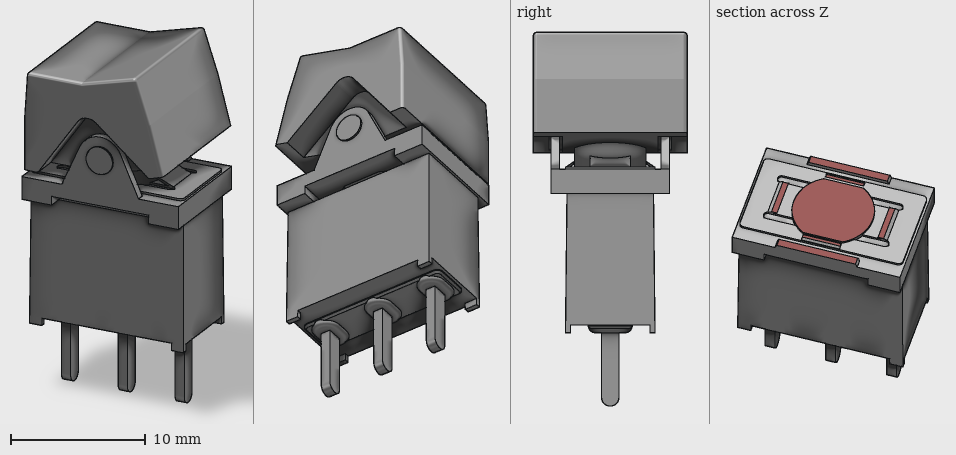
import cadquery as cq
import math


foot_z = 5.43
case_floor_z = 6.02
case_top_z = 15.75
bracket_top_z = 17.57
pivot_z = 20.1

case_top_x, case_top_y = 12.65, 6.43
case_foot_x, case_foot_y = 12.8, 6.65
foot_gap_x, foot_gap_y = 10.75, 5.88

terminal_pitch = 4.7
terminal_x, terminal_y = 0.78, 1.3
terminal_tip_radius = 0.499 * terminal_y
resin_x, resin_y = 12.3, 3.33
resin_thickness = 0.25
resin_corner = 0.5
resin_bevel = 0.17
mound_x, mound_y = 2.33, 3.27
mound_height = 0.58
mound_edge_radius = 0.55

bracket_x, bracket_y = 13.0, 8.8
bracket_slot_x, bracket_slot_z = 8.05, 0.7
ear_thickness = 0.65
ear_base_half = 3.2
ear_radius = 1.85

bushing_radius = 3.08
bushing_across_flats = 5.32
collar_radius = 3.15
collar_across_flats = 5.45

washer_x, washer_y = 12.65, 6.65
washer_thickness = 0.17
washer_corner = 0.35
tongue_width = 2.97
relief_width = 0.6
relief_end_x = 4.85
tongue_sheet = 0.2
tongue_x_root, tongue_x_tip, tongue_x_rise = 4.63, 2.63, 0.83
tongue_y_root, tongue_y_tip, tongue_y_rise = 3.27, 2.7, 0.4

rocker_width = 11.42
rocker_tilt = 7.5
rocker_side_x = 5.7
rocker_crease_z = 22.85
rocker_shoulder_x = 5.45
rocker_bottom_z = 18.77
rocker_shoulder_z = 26.58
rocker_edge_radius = 0.28
recess_floor_width = 7.1
recess_apex_height = 4.3
recess_slope = 47.3
recess_apex_radius = 1.05

pivot_diameter = 2.2
pin_overhang = 0.15
pivot_length = bracket_y + 2 * pin_overhang


def block(size_x, size_y, bottom_z, top_z):
    """Upright block centred on X and Y."""
    slab = cq.Workplane("XY").workplane(offset=bottom_z).rect(size_x, size_y)
    return slab.extrude(top_z - bottom_z)


def across_y(profile, width):
    """Extrude an XZ profile symmetrically along Y."""
    return profile.extrude(width / 2, both=True)


def make_case():
    case = (
        cq.Workplane("XY")
        .workplane(offset=foot_z)
        .rect(case_foot_x, case_foot_y)
        .workplane(offset=case_top_z - foot_z)
        .rect(case_top_x, case_top_y)
        .loft(combine=True)
    )
    case = case.cut(block(foot_gap_x, bracket_y, foot_z, case_floor_z))
    return case.cut(block(bracket_x, foot_gap_y, foot_z, case_floor_z))


def make_resin():
    resin = block(resin_x, resin_y, case_floor_z - resin_thickness, case_floor_z)
    resin = resin.edges("|Z").fillet(resin_corner).faces("<Z").chamfer(resin_bevel)
    for index in (-1, 0, 1):
        mound = (
            cq.Workplane("XY")
            .workplane(offset=case_floor_z - mound_height)
            .center(index * terminal_pitch, 0)
            .slot2D(mound_y, mound_x, 90)
            .extrude(mound_height)
            .faces("<Z")
            .edges()
            .fillet(mound_edge_radius)
        )
        resin = resin.union(mound)
    return resin


def make_terminals():
    terminals = cq.Workplane("XY")
    for index in (-1, 0, 1):
        blade = block(terminal_x, terminal_y, 0, case_floor_z)
        tip_edges = blade.faces("<Z").edges("|X")
        blade = tip_edges.fillet(terminal_tip_radius)
        terminals = terminals.union(blade.translate((index * terminal_pitch, 0, 0)))
    return terminals


def make_ear_profile():
    """Triangle with sides tangent to a round head about the pivot."""
    drop = pivot_z - bracket_top_z
    reach = math.hypot(ear_base_half, drop)
    tangent_angle = math.acos(ear_radius / reach) - math.atan2(drop, ear_base_half)
    tangent_x = ear_radius * math.cos(tangent_angle)
    tangent_z = pivot_z + ear_radius * math.sin(tangent_angle)
    return (
        cq.Workplane("XZ")
        .moveTo(-ear_base_half, bracket_top_z)
        .lineTo(-tangent_x, tangent_z)
        .threePointArc((0, pivot_z + ear_radius), (tangent_x, tangent_z))
        .lineTo(ear_base_half, bracket_top_z)
        .close()
    )


def make_bracket():
    bracket = block(bracket_x, bracket_y, case_top_z, bracket_top_z)
    slot_top_z = case_top_z + bracket_slot_z
    bracket = bracket.cut(block(bracket_slot_x, bracket_y, case_top_z, slot_top_z))
    ears = across_y(make_ear_profile(), bracket_y)
    between_ears = across_y(make_ear_profile(), bracket_y - 2 * ear_thickness)
    return bracket.union(ears.cut(between_ears))


def flatted_cylinder(radius, across_flats, bottom_z, top_z):
    """Upright cylinder with flats facing -Y and +Y."""
    barrel = cq.Workplane("XY").workplane(offset=bottom_z).circle(radius).extrude(top_z - bottom_z)
    return barrel.intersect(block(2 * radius, across_flats, bottom_z, top_z))


def make_bushing():
    collar = flatted_cylinder(collar_radius, collar_across_flats, case_top_z, bracket_top_z)
    return collar.union(
        flatted_cylinder(bushing_radius, bushing_across_flats, bracket_top_z, pivot_z)
    )


def make_tongue(root, tip, rise):
    """Sloping strip climbing toward the bushing from the +X side."""
    top_z = bracket_top_z + washer_thickness
    profile = (
        cq.Workplane("XZ")
        .moveTo(root, top_z)
        .lineTo(tip, top_z + rise)
        .lineTo(tip, top_z + rise - tongue_sheet)
        .lineTo(root, top_z - tongue_sheet)
        .close()
    )
    return across_y(profile, tongue_width)


def make_washer():
    washer = block(washer_x, washer_y, bracket_top_z, bracket_top_z + washer_thickness)
    washer = washer.edges("|Z").fillet(washer_corner)
    relief_y = (tongue_width + relief_width) / 2
    relief = (
        cq.Workplane("XY")
        .workplane(offset=bracket_top_z)
        .pushPoints([(0, -relief_y), (0, relief_y)])
        .slot2D(2 * relief_end_x, relief_width)
        .extrude(washer_thickness)
    )
    washer = washer.cut(relief)
    long_tongue = make_tongue(tongue_x_root, tongue_x_tip, tongue_x_rise)
    short_tongue = make_tongue(tongue_y_root, tongue_y_tip, tongue_y_rise)
    short_tongue = short_tongue.rotate((0, 0, 0), (0, 0, 1), 90)
    for tongue in (long_tongue, short_tongue):
        opposite_tongue = tongue.rotate((0, 0, 0), (0, 0, 1), 180)
        washer = washer.union(tongue).union(opposite_tongue)
    return washer


def tilt(body, angle):
    """Turn a body about the pivot axis; positive angles lift the +X side."""
    return body.rotate((0, 0, pivot_z), (0, -1, pivot_z), angle)


def make_rocker_blank():
    """Rocker standing upright: the left half is set out tilted, straightened, then mirrored."""
    lean = math.tan(math.radians(rocker_tilt))
    half = across_y(
        cq.Workplane("XZ").polyline([
            ((pivot_z - rocker_bottom_z) * lean, rocker_bottom_z),
            (-rocker_side_x, rocker_bottom_z),
            (-rocker_side_x, rocker_crease_z),
            (-rocker_shoulder_x, rocker_shoulder_z),
            ((pivot_z - rocker_shoulder_z) * lean, rocker_shoulder_z),
        ]).close(),
        rocker_width,
    )
    half = tilt(half, -rocker_tilt)
    blank = half.union(half.mirror("YZ"))
    above_underside = cq.selectors.BoxSelector(
        (-2 * rocker_side_x, -rocker_width, pivot_z),
        (2 * rocker_side_x, rocker_width, 2 * rocker_shoulder_z),
    )
    rounded_edges = blank.edges(above_underside).edges("#Y or (|Y and >Z)")
    return rounded_edges.fillet(rocker_edge_radius)


def make_recess():
    """Round-topped wedge that clears the ears on both sides of the rocker."""
    apex_z = pivot_z + recess_apex_height
    depth = 2 * recess_apex_height
    half_base = depth / math.tan(math.radians(recess_slope))
    wedge = across_y(
        cq.Workplane("XZ").polyline([
            (-half_base, apex_z - depth), (0, apex_z), (half_base, apex_z - depth),
        ]).close(),
        rocker_width,
    )
    wedge = wedge.edges("|Y and >Z").fillet(recess_apex_radius)
    return wedge.cut(block(4 * rocker_side_x, recess_floor_width, 0, apex_z))


def make_pivot_pin():
    return across_y(
        cq.Workplane("XZ").center(0, pivot_z).circle(pivot_diameter / 2), pivot_length
    )


rocker = tilt(make_rocker_blank().cut(make_recess()), rocker_tilt)

result = (
    make_case()
    .union(make_resin())
    .union(make_terminals())
    .union(make_bracket())
    .union(make_bushing())
    .union(make_washer())
    .union(rocker)
    .union(make_pivot_pin())
)